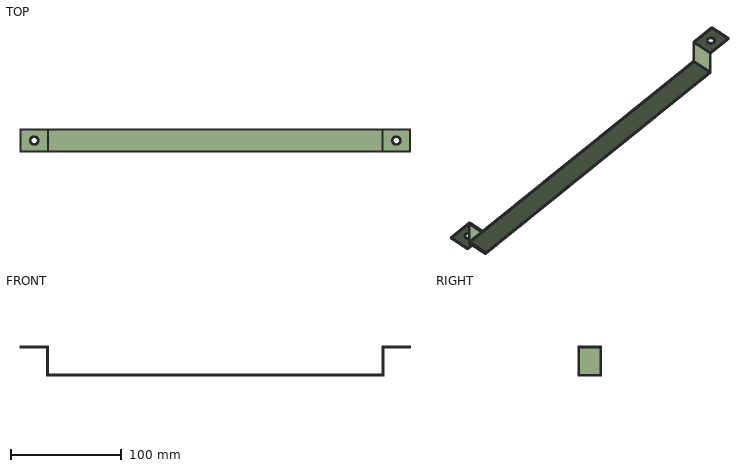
import cadquery as cq

length = 352.0
width = 20.0
height = 26.0
thickness = 1.0
tab_length = 25.0
hole_diameter = 7.0

half_length = length / 2
upright_inner_x = half_length - tab_length
upright_outer_x = upright_inner_x + thickness
hole_x = half_length - tab_length / 2

right_half = [
    (0, 0),
    (upright_outer_x, 0),
    (upright_outer_x, height - thickness),
    (half_length, height - thickness),
    (half_length, height),
    (upright_inner_x, height),
    (upright_inner_x, thickness),
    (0, thickness),
]

half_strip = (
    cq.Workplane("XZ")
    .polyline(right_half)
    .close()
    .extrude(width / 2, both=True)
)
strip = half_strip.union(half_strip.mirror("YZ")).clean()

hole_cutters = (
    cq.Workplane("XY", origin=(0, 0, height / 2))
    .pushPoints([(-hole_x, 0), (hole_x, 0)])
    .circle(hole_diameter / 2)
    .extrude(height)
)
result = strip.cut(hole_cutters)